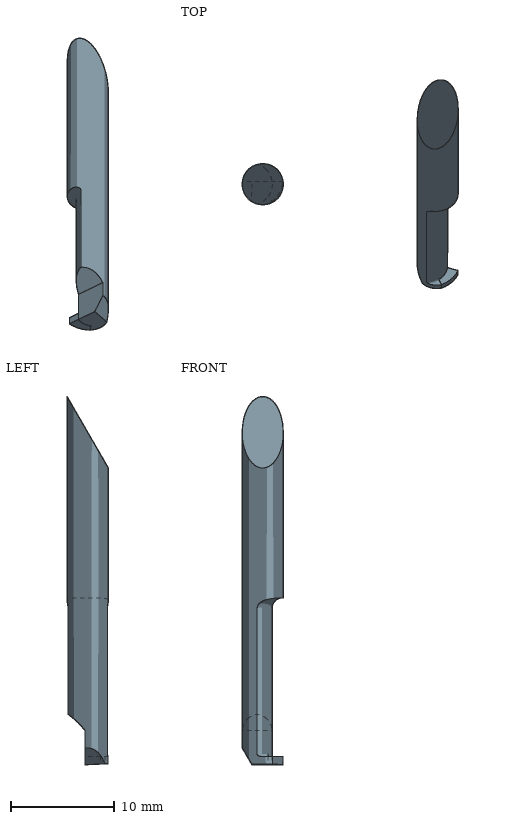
import cadquery as cq
import math

length = 35.7
diameter = 4.0
radius = diameter / 2
end_angle = 60.0

neck_shift = 1.07
neck_top = 16.18
shoulder_radius = 0.95
flange_height = 0.82
flange_fillet = 0.2

rake_y = 0.3
rake_height = 3.35
runout_mid_y = 1.05
runout_mid_z = 4.18
runout_height = 4.95

back_relief_width = 0.95
back_relief_height = 1.65
clearance_rise = 0.1

neck_corner = (-neck_shift / 2, -math.sqrt(radius**2 - (neck_shift / 2) ** 2))
front_mid = (0.1, -1.95)
joint_x = 0.93
joint_y = -1.68
clearance_mid = (1.65, -0.8)
cutting_point = (math.sqrt(radius**2 - rake_y**2), rake_y)

margin = 0.7
reach = radius + margin
ground_outer = diameter + margin


def slanted_end():
    drop = 2 * reach * math.tan(math.radians(end_angle))
    overshoot = margin * math.tan(math.radians(end_angle))
    high = length + overshoot
    return (
        cq.Workplane("YZ").workplane(offset=-reach)
        .polyline([(-reach, high - drop), (reach, high), (-reach, high)]).close()
        .extrude(2 * reach)
    )


def neck_relief():
    """Ring around the shifted neck, rounded into the shoulder and the flange."""
    diagonal = math.sqrt(0.5)
    shoulder_center = (radius + shoulder_radius, neck_top - shoulder_radius)
    flange_center = (radius + flange_fillet, flange_height + flange_fillet)
    return (
        cq.Workplane("XZ")
        .moveTo(ground_outer, flange_height)
        .lineTo(flange_center[0], flange_height)
        .threePointArc(
            (flange_center[0] - flange_fillet * diagonal, flange_center[1] - flange_fillet * diagonal),
            (radius, flange_center[1]),
        )
        .lineTo(radius, shoulder_center[1])
        .threePointArc(
            (shoulder_center[0] - shoulder_radius * diagonal, shoulder_center[1] + shoulder_radius * diagonal),
            (shoulder_center[0], neck_top),
        )
        .lineTo(ground_outer, neck_top)
        .close()
        .revolve(360, (0, 0, 0), (0, 1, 0))
        .translate((-neck_shift, 0, 0))
    )


def rake_cut():
    return (
        cq.Workplane("YZ").workplane(offset=-reach)
        .moveTo(rake_y, -margin)
        .lineTo(rake_y, rake_height)
        .threePointArc((runout_mid_y, runout_mid_z), (radius, runout_height))
        .lineTo(reach, runout_height)
        .lineTo(reach, -margin)
        .close()
        .extrude(2 * reach)
    )


def back_relief():
    """Sloping flat on the -X side of the tip."""
    return (
        cq.Workplane("XZ").workplane(offset=-reach)
        .polyline([(-radius, back_relief_height), (-radius + back_relief_width, 0), (-radius, 0)])
        .close()
        .extrude(2 * reach)
    )


def clearance_cut():
    """Underside rises from the rake face towards -Y."""
    return (
        cq.Workplane("YZ").workplane(offset=-reach)
        .polyline([(rake_y, 0), (-radius, clearance_rise), (-radius, 0)]).close()
        .extrude(2 * reach)
    )


def flange_trim():
    """Space outside the flange outline, up to the flange's upper face."""
    return (
        cq.Workplane("XY")
        .moveTo(*neck_corner)
        .threePointArc(front_mid, (joint_x, joint_y))
        .threePointArc(clearance_mid, cutting_point)
        .lineTo(reach, rake_y)
        .lineTo(reach, -reach)
        .lineTo(neck_corner[0], -reach)
        .close()
        .extrude(flange_height + flange_fillet)
    )


def edge_zone(height):
    """Space outside the neck, on the +X side of the diagonal joint."""
    zone = (
        cq.Workplane("XY")
        .polyline([
            (joint_x + reach, joint_y - reach),
            (joint_x - reach, joint_y + reach),
            (joint_x + reach, joint_y + reach),
        ]).close()
        .extrude(height)
    )
    neck = cq.Workplane("XY").center(-neck_shift, 0).circle(radius).extrude(height)
    return zone.cut(neck)


def tip_cuts(body):
    return body.cut(rake_cut()).cut(clearance_cut()).cut(flange_trim())


def make_shank():
    bar = cq.Workplane("XY").circle(radius).extrude(length)
    bar = bar.cut(slanted_end()).cut(neck_relief()).cut(back_relief())
    return tip_cuts(bar).cut(edge_zone(flange_height + flange_fillet))


def make_cutting_edge():
    flange = cq.Workplane("XY").circle(radius).extrude(flange_height)
    return tip_cuts(flange.intersect(edge_zone(flange_height)))


shank = make_shank()
cutting_edge = make_cutting_edge()

result = cq.Compound.makeCompound([shank.val(), cutting_edge.val()])